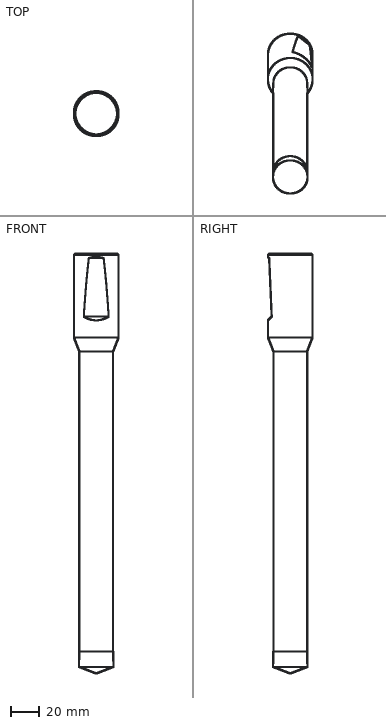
import cadquery as cq

TOTAL_LENGTH = 300.0
HEAD_DIAMETER = 32.0
SHANK_DIAMETER = 24.3
HEAD_LENGTH = 60.0
TAPER_LENGTH = 10.0
TOP_CHAMFER = 1.2
TIP_LENGTH = 16.0
CORNER_DIAMETER = 25.0
POINT_HEIGHT = 4.8

FLAT_TOP_Z = 296.7
FLAT_BOTTOM_Z = 255.0
FLAT_TOP_DEPTH = 1.0
FLAT_BOTTOM_DEPTH = 2.7

head_radius = HEAD_DIAMETER / 2
shank_radius = SHANK_DIAMETER / 2
corner_radius = CORNER_DIAMETER / 2
head_bottom_z = TOTAL_LENGTH - HEAD_LENGTH
taper_bottom_z = head_bottom_z - TAPER_LENGTH


def revolve_profile(points):
    """Revolve a closed (radius, height) outline about the Z axis."""
    profile = cq.Workplane("XZ").polyline(points).close()
    return profile.revolve(360, (0, 0, 0), (0, 1, 0))


def make_clamping_recess():
    """Recess with a sloping floor and 45 degree end walls."""
    outline = [
        (-head_radius, FLAT_BOTTOM_Z - FLAT_BOTTOM_DEPTH),
        (-head_radius + FLAT_BOTTOM_DEPTH, FLAT_BOTTOM_Z),
        (-head_radius + FLAT_TOP_DEPTH, FLAT_TOP_Z),
        (-head_radius, FLAT_TOP_Z + FLAT_TOP_DEPTH),
    ]
    profile = cq.Workplane("YZ").polyline(outline).close()
    return profile.extrude(head_radius, both=True)


def make_shank():
    """Stepped round shank with a chamfered head and a clamping flat."""
    blank = revolve_profile([
        (0, TIP_LENGTH),
        (shank_radius, TIP_LENGTH),
        (shank_radius, taper_bottom_z),
        (head_radius, head_bottom_z),
        (head_radius, TOTAL_LENGTH - TOP_CHAMFER),
        (head_radius - TOP_CHAMFER, TOTAL_LENGTH),
        (0, TOTAL_LENGTH),
    ])
    return blank.cut(make_clamping_recess())


def make_tip():
    """Tip flaring slightly toward its conical point, butted against the shank."""
    return revolve_profile([
        (0, 0),
        (corner_radius, POINT_HEIGHT),
        (shank_radius, TIP_LENGTH),
        (0, TIP_LENGTH),
    ])


shank = make_shank()
tip = make_tip()
result = cq.Compound.makeCompound([shank.val(), tip.val()])